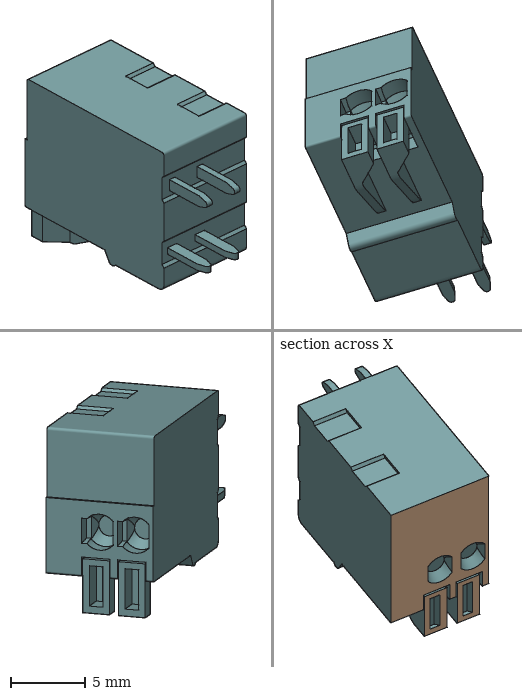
import cadquery as cq
import math


POLES = 2
PITCH = 2.54
HOUSING_WIDTH = 3 * PITCH
HOUSING_LENGTH = 13.7
HOUSING_TOP = 12.6
UNDERSIDE = 2.52
FRONT_STEP = 0.2
FRONT_STEP_Z = 7.8
TOP_RADIUS = 0.2
LOWER_FRONT_RADIUS = 0.15

FOOT_BOTTOM = 1.78
FOOT_START_X = 7.86
FOOT_REAR_RADIUS = 0.5
RIDGE_SLOPE_BOTTOM = 1.85
RIDGE_SLOPE_ANGLE = 60
RIDGE_LOW_POINT = (8.56, 1.62)
RIDGE_END_X = 8.92

PIN_END_X = 17.2
PIN_THICKNESS = 0.5
PIN_WIDTH = 0.85
PIN_TAPER_START_X = 16.4
PIN_TIP_START_X = 17.0
PIN_TIP_WIDTH = 0.5
PIN_EMBED = 1.0
PIN_FIRST_Y = 0.94
LOWER_PIN_Z = 4.67
UPPER_PIN_Z = LOWER_PIN_Z + 2 * PITCH
GROOVE_DEPTH = 0.2
GROOVE_FLOOR_HEIGHT = 1.7

NOTCH_COUNT = 2
NOTCH_FIRST_X = 4.5
NOTCH_LENGTH = 2.13
NOTCH_SPACING = 2 * PITCH
NOTCH_WIDTH = PITCH
NOTCH_DEPTH = 0.2

ENTRY_FIRST_Y = 1.25
ENTRY_Z = 5.7
ENTRY_RADIUS = 1.25
ENTRY_HALF_WIDTH = 0.96
ENTRY_DEPTH = 1.08
FUNNEL_END_RADIUS = 0.73
FUNNEL_ANGLE = 30
FUNNEL_DEPTH = (ENTRY_RADIUS - FUNNEL_END_RADIUS) / math.tan(math.radians(FUNNEL_ANGLE))
SIDE_SLOT_REACH = 1.29
SIDE_SLOT_HEIGHT = 1.74
SIDE_SLOT_FLOOR_HEIGHT = 1.5

LEVER_FIRST_Y = 0.58
LEVER_WIDTH = 1.9
LEVER_FRONT_X = 0.06
LEVER_BLOCK_END_X = 1.14
LEVER_TOP = 3.75
ARM_WIDTH = 0.6
ARM_START_X = LEVER_BLOCK_END_X + LEVER_WIDTH - ARM_WIDTH
RAMP_START_X = 2.8
RAMP_BLEND = 0.25
RAMP_ANGLE = 30
RAMP_END_X = 6.4
RAMP_END_Z = (RAMP_END_X - RAMP_START_X) * math.tan(math.radians(RAMP_ANGLE))
RAMP_CURVE_MIDDLE = (6.72, 2.29)
RAMP_CURVE_END = (7.0, UNDERSIDE)
LEVER_CLEARANCE = 0.06
POCKET_TOP = 3.88
POCKET_SLOPE_LENGTH = 0.25
POCKET_DEPTH = ARM_START_X + POCKET_SLOPE_LENGTH

WINDOW_BOTTOM = 0.5
WINDOW_TOP = 3.3
WINDOW_MARGIN = 0.47
WINDOW_WIDTH = LEVER_WIDTH - 2 * WINDOW_MARGIN
WINDOW_FLOOR_WIDTH = 0.45
WINDOW_STRAIGHT_DEPTH = 0.95
WINDOW_DEPTH = WINDOW_STRAIGHT_DEPTH + WINDOW_WIDTH - WINDOW_FLOOR_WIDTH


def pole_positions(first):
    """Y positions of a feature that repeats at every pole."""
    return [first + pole * PITCH for pole in range(POLES)]


def extrude_y(side_profile, start, width):
    """Extrude an XZ workplane profile towards +Y, from Y = start."""
    return side_profile.extrude(-width).translate((0, start, 0))


def make_housing():
    slope_run = (UNDERSIDE - RIDGE_SLOPE_BOTTOM) / math.tan(math.radians(RIDGE_SLOPE_ANGLE))
    profile = (
        cq.Workplane("XZ")
        .moveTo(0, UNDERSIDE)
        .lineTo(FOOT_START_X, UNDERSIDE)
        .lineTo(FOOT_START_X + slope_run, RIDGE_SLOPE_BOTTOM)
        .threePointArc(RIDGE_LOW_POINT, (RIDGE_END_X, FOOT_BOTTOM))
        .lineTo(HOUSING_LENGTH, FOOT_BOTTOM)
        .lineTo(HOUSING_LENGTH, HOUSING_TOP)
        .lineTo(FRONT_STEP, HOUSING_TOP)
        .lineTo(FRONT_STEP, FRONT_STEP_Z)
        .lineTo(0, FRONT_STEP_Z)
        .close()
    )
    housing = extrude_y(profile, 0, HOUSING_WIDTH)
    housing = housing.edges("|Y and >Z").fillet(TOP_RADIUS)
    housing = housing.edges(
        cq.selectors.NearestToPointSelector((HOUSING_LENGTH, HOUSING_WIDTH / 2, FOOT_BOTTOM))
    ).fillet(FOOT_REAR_RADIUS)
    return housing.edges(
        cq.selectors.NearestToPointSelector((0, HOUSING_WIDTH / 2, UNDERSIDE))
    ).fillet(LOWER_FRONT_RADIUS)


def make_rear_groove(center_z):
    """Full-width trapezoidal groove across the rear face."""
    floor_x = HOUSING_LENGTH - GROOVE_DEPTH
    half_floor = GROOVE_FLOOR_HEIGHT / 2
    half_mouth = half_floor + GROOVE_DEPTH
    profile = cq.Workplane("XZ").polyline([
        (floor_x, center_z - half_floor),
        (HOUSING_LENGTH, center_z - half_mouth),
        (HOUSING_LENGTH, center_z + half_mouth),
        (floor_x, center_z + half_floor),
    ]).close()
    return extrude_y(profile, 0, HOUSING_WIDTH)


def make_top_notch(start_x):
    """Shallow notch with 45 degree end walls."""
    floor_z = HOUSING_TOP - NOTCH_DEPTH
    end_x = start_x + NOTCH_LENGTH
    profile = cq.Workplane("XZ").polyline([
        (start_x, HOUSING_TOP),
        (start_x + NOTCH_DEPTH, floor_z),
        (end_x - NOTCH_DEPTH, floor_z),
        (end_x, HOUSING_TOP),
    ]).close()
    return extrude_y(profile, HOUSING_WIDTH - NOTCH_WIDTH, NOTCH_WIDTH)


def make_wire_entry(center_y):
    """Flat-sided bore that funnels inwards, with a tapered slot on its +Y side."""
    funnel_end_x = ENTRY_DEPTH + FUNNEL_DEPTH
    bore = (
        cq.Workplane("XY")
        .polyline([
            (0, 0),
            (0, ENTRY_RADIUS),
            (ENTRY_DEPTH, ENTRY_RADIUS),
            (funnel_end_x, FUNNEL_END_RADIUS),
            (funnel_end_x, 0),
        ])
        .close()
        .revolve(360, (0, 0, 0), (1, 0, 0))
    )
    flat_sides = (
        cq.Workplane("XY")
        .polyline([
            (0, -ENTRY_HALF_WIDTH),
            (ENTRY_DEPTH, -ENTRY_HALF_WIDTH),
            (funnel_end_x, -FUNNEL_END_RADIUS),
            (funnel_end_x, FUNNEL_END_RADIUS),
            (ENTRY_DEPTH, ENTRY_HALF_WIDTH),
            (0, ENTRY_HALF_WIDTH),
        ])
        .close()
        .extrude(ENTRY_RADIUS, both=True)
    )
    half_mouth = SIDE_SLOT_HEIGHT / 2
    half_floor = SIDE_SLOT_FLOOR_HEIGHT / 2
    slot_profile = cq.Workplane("XZ").polyline([
        (0, -half_mouth),
        (ENTRY_DEPTH, -half_floor),
        (ENTRY_DEPTH, half_floor),
        (0, half_mouth),
    ]).close()
    side_slot = extrude_y(slot_profile, 0, SIDE_SLOT_REACH)
    return bore.intersect(flat_sides).union(side_slot).translate((0, center_y, ENTRY_Z))


def make_lever_pocket(lever_y):
    """Clearance around the lever, with a ceiling that falls at the rear end."""
    profile = cq.Workplane("XZ").polyline([
        (0, 0),
        (POCKET_DEPTH, 0),
        (POCKET_DEPTH, LEVER_TOP),
        (ARM_START_X, POCKET_TOP),
        (0, POCKET_TOP),
    ]).close()
    return extrude_y(profile, lever_y - LEVER_CLEARANCE, LEVER_WIDTH + 2 * LEVER_CLEARANCE)


def make_lever(lever_y):
    """Lever block that tapers to a thin arm rising along a ramp into the housing."""
    ramp_angle = math.radians(RAMP_ANGLE)
    blend_end = (
        RAMP_START_X + RAMP_BLEND * math.cos(ramp_angle),
        RAMP_BLEND * math.sin(ramp_angle),
    )
    side_profile = (
        cq.Workplane("XZ")
        .moveTo(LEVER_FRONT_X, 0)
        .lineTo(RAMP_START_X - RAMP_BLEND, 0)
        .tangentArcPoint(blend_end, relative=False)
        .lineTo(RAMP_END_X, RAMP_END_Z)
        .threePointArc(RAMP_CURVE_MIDDLE, RAMP_CURVE_END)
        .lineTo(RAMP_CURVE_END[0], POCKET_TOP)
        .lineTo(POCKET_DEPTH, POCKET_TOP)
        .lineTo(ARM_START_X, LEVER_TOP)
        .lineTo(LEVER_FRONT_X, LEVER_TOP)
        .close()
    )
    side_shape = extrude_y(side_profile, 0, LEVER_WIDTH)
    plan_shape = (
        cq.Workplane("XY")
        .polyline([
            (LEVER_FRONT_X, 0),
            (LEVER_BLOCK_END_X, 0),
            (ARM_START_X, LEVER_WIDTH - ARM_WIDTH),
            (RAMP_CURVE_END[0], LEVER_WIDTH - ARM_WIDTH),
            (RAMP_CURVE_END[0], LEVER_WIDTH),
            (LEVER_FRONT_X, LEVER_WIDTH),
        ])
        .close()
        .extrude(POCKET_TOP)
    )
    window_far_y = LEVER_WIDTH - WINDOW_MARGIN
    window = (
        cq.Workplane("XY", origin=(LEVER_FRONT_X, 0, WINDOW_BOTTOM))
        .polyline([
            (0, WINDOW_MARGIN),
            (WINDOW_STRAIGHT_DEPTH, WINDOW_MARGIN),
            (WINDOW_DEPTH, window_far_y - WINDOW_FLOOR_WIDTH),
            (WINDOW_DEPTH, window_far_y),
            (0, window_far_y),
        ])
        .close()
        .extrude(WINDOW_TOP - WINDOW_BOTTOM)
    )
    return side_shape.intersect(plan_shape).cut(window).translate((0, lever_y, 0))


def make_pin(plane):
    """Flat pin along X with a tapered, rounded tip, its width lying in the given plane."""
    start_x = HOUSING_LENGTH - PIN_EMBED
    half_width = PIN_WIDTH / 2
    half_tip = PIN_TIP_WIDTH / 2
    return (
        cq.Workplane(plane)
        .moveTo(start_x, -half_width)
        .lineTo(PIN_TAPER_START_X, -half_width)
        .lineTo(PIN_TIP_START_X, -half_tip)
        .threePointArc((PIN_END_X, 0), (PIN_TIP_START_X, half_tip))
        .lineTo(PIN_TAPER_START_X, half_width)
        .lineTo(start_x, half_width)
        .close()
        .extrude(PIN_THICKNESS / 2, both=True)
    )


result = make_housing()

for pin_row_z in (LOWER_PIN_Z, UPPER_PIN_Z):
    result = result.cut(make_rear_groove(pin_row_z))

for notch_index in range(NOTCH_COUNT):
    result = result.cut(make_top_notch(NOTCH_FIRST_X + notch_index * NOTCH_SPACING))

for entry_y in pole_positions(ENTRY_FIRST_Y):
    result = result.cut(make_wire_entry(entry_y))

for lever_start_y in pole_positions(LEVER_FIRST_Y):
    result = result.cut(make_lever_pocket(lever_start_y)).union(make_lever(lever_start_y))

for pin_y in pole_positions(PIN_FIRST_Y):
    result = result.union(make_pin("XZ").translate((0, pin_y, UPPER_PIN_Z)))
    result = result.union(make_pin("XY").translate((0, pin_y, LOWER_PIN_Z)))